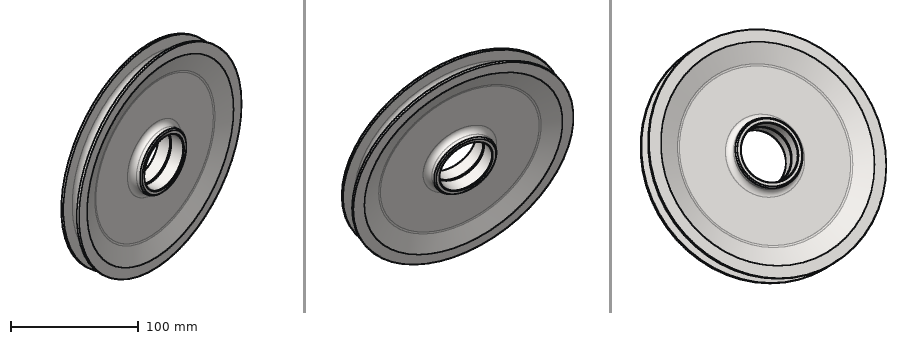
import cadquery as cq
import math

rim_radius = 100.0
rim_half_width = 9.0
rim_face_inner_radius = 90.0
groove_depth = 15.0
groove_radius = 6.0
flank_angle = math.radians(5)

web_half_thickness = 3.0
dish_inner_radius = 73.0
dish_fillet = 5.0

hub_radius = 28.5
hub_half_length = 13.0
hub_chamfer = 1.2
hub_fillet = 5.0

bore_radius = 23.8
bore_chamfer = 0.5
ring_radius = 23.5
ring_half_width = 0.5


def disc(radius, half_width):
    """Disc about the X axis, centred on the YZ plane."""
    return cq.Workplane("YZ").circle(radius).extrude(half_width, both=True)


def revolve_about_x(outline):
    """Turn a closed XY outline (X along the axle, Y as radius) about X."""
    return outline.close().revolve(360, (0, 0, 0), (1, 0, 0))


def make_dish(side):
    """Tapered recess between rim and hub; side is -1 or +1 along X."""
    outline = (
        cq.Workplane("XY")
        .moveTo(side * web_half_thickness, 0)
        .lineTo(side * web_half_thickness, dish_inner_radius)
        .lineTo(side * rim_half_width, rim_face_inner_radius)
        .lineTo(side * rim_half_width, 0)
    )
    return revolve_about_x(outline)


def make_groove():
    """Rope groove: round bottom with tangent flanks opening outward."""
    arc_center = rim_radius - groove_depth + groove_radius
    tangent_x = groove_radius * math.cos(flank_angle)
    tangent_y = arc_center - groove_radius * math.sin(flank_angle)
    mouth_x = tangent_x + (rim_radius - tangent_y) * math.tan(flank_angle)
    outline = (
        cq.Workplane("XY")
        .moveTo(-mouth_x, rim_radius)
        .lineTo(-tangent_x, tangent_y)
        .threePointArc((0, rim_radius - groove_depth), (tangent_x, tangent_y))
        .lineTo(mouth_x, rim_radius)
    )
    return revolve_about_x(outline)


def circles_at(radius, half_width):
    """Selector for the pair of edges of a given radius at X = +/- half_width."""
    tolerance = 0.02
    reach = radius + tolerance
    box = cq.selectors.BoxSelector
    pair = None
    for side in (-1, 1):
        x = side * half_width
        inside = box((x - tolerance, -reach, -reach), (x + tolerance, reach, reach), boundingbox=True)
        pair = inside if pair is None else pair + inside
    return pair


def make_bore():
    """Through bore with chamfered mouths, relieved around the central ring."""
    mouth_radius = bore_radius + bore_chamfer
    outline = (
        cq.Workplane("XY")
        .moveTo(-hub_half_length, 0)
        .lineTo(-hub_half_length, mouth_radius)
        .lineTo(-hub_half_length + bore_chamfer, bore_radius)
        .lineTo(-ring_half_width, bore_radius)
        .lineTo(-ring_half_width, ring_radius)
        .lineTo(ring_half_width, ring_radius)
        .lineTo(ring_half_width, bore_radius)
        .lineTo(hub_half_length - bore_chamfer, bore_radius)
        .lineTo(hub_half_length, mouth_radius)
        .lineTo(hub_half_length, 0)
    )
    return revolve_about_x(outline)


wheel = disc(rim_radius, rim_half_width)
for side in (-1, 1):
    wheel = wheel.cut(make_dish(side))
wheel = wheel.edges(circles_at(dish_inner_radius, web_half_thickness)).fillet(dish_fillet)
wheel = wheel.cut(make_groove())

wheel = wheel.union(disc(hub_radius, hub_half_length))
wheel = wheel.edges(circles_at(hub_radius, web_half_thickness)).fillet(hub_fillet)
wheel = wheel.edges(circles_at(hub_radius, hub_half_length)).chamfer(hub_chamfer)

result = wheel.cut(make_bore())